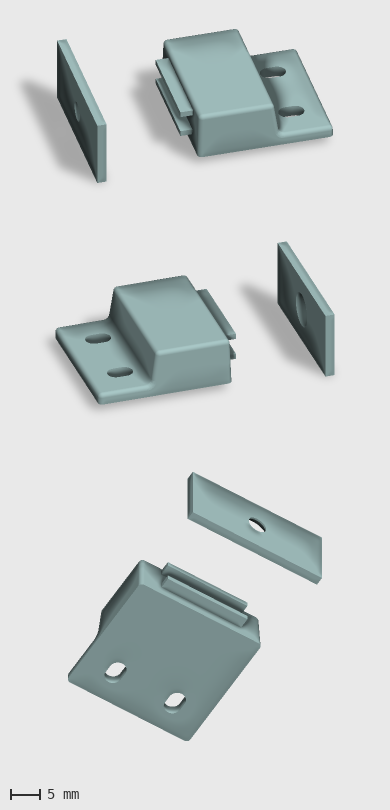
import cadquery as cq
import math

HOUSING_WIDTH = 24.5
HOUSING_LENGTH = 24.0
HOUSING_HEIGHT = 8.3
FLANGE_THICKNESS = 1.98
STEP_FOOT_Y = -9.5
STEP_ANGLE = 8.5
DRAFT_ANGLE = 2.0
EDGE_RADIUS = 0.75
STEP_RADIUS = 1.0

SLOT_LENGTH = 4.5
SLOT_WIDTH = 3.0
SLOT_SPACING = 11.95
SLOT_Y = -5.8

BAR_WIDTH = 16.0
BAR_THICKNESS = 1.0
BAR_FRONT_Y = -26.0
BAR_LENGTH = 4.0
BAR_BOTTOMS = (2.0, 5.98)

PLATE_WIDTH = 26.0
PLATE_THICKNESS = 1.65
PLATE_HEIGHT = 12.0
PLATE_FRONT_Y = -42.1
PLATE_CENTER_Z = 4.65
PLATE_HOLE_DIAMETER = 3.5
PLATE_HOLE_LAND = 0.35
COUNTERSINK_ANGLE = 45.0


def lean(height, angle):
    """Sideways shift of a leaning wall over a given height."""
    return height * math.tan(math.radians(angle))


def make_profile_block():
    """Side profile of the housing, extruded across its full width."""
    step_top_y = STEP_FOOT_Y - lean(HOUSING_HEIGHT - FLANGE_THICKNESS, STEP_ANGLE)
    front_top_y = -HOUSING_LENGTH + lean(HOUSING_HEIGHT, DRAFT_ANGLE)
    return (
        cq.Workplane("YZ")
        .moveTo(0, 0)
        .lineTo(0, FLANGE_THICKNESS)
        .lineTo(STEP_FOOT_Y, FLANGE_THICKNESS)
        .lineTo(step_top_y, HOUSING_HEIGHT)
        .lineTo(front_top_y, HOUSING_HEIGHT)
        .lineTo(-HOUSING_LENGTH, 0)
        .close()
        .extrude(HOUSING_WIDTH / 2, both=True)
    )


def make_side_envelope():
    """Trapezoid along Y that gives the housing its drafted side walls."""
    half_base = HOUSING_WIDTH / 2
    half_top = half_base - lean(HOUSING_HEIGHT, DRAFT_ANGLE)
    return (
        cq.Workplane("XZ")
        .polyline([
            (-half_base, 0),
            (half_base, 0),
            (half_top, HOUSING_HEIGHT),
            (-half_top, HOUSING_HEIGHT),
        ])
        .close()
        .extrude(HOUSING_LENGTH)
    )


def make_bar(bottom_z):
    """One flat bar, its inner end buried in the housing."""
    return cq.Workplane("XY").box(
        BAR_WIDTH, BAR_LENGTH, BAR_THICKNESS, centered=(True, False, False)
    ).translate((0, BAR_FRONT_Y, bottom_z))


def make_housing(bars):
    """Rounded housing with mounting slots and a recess for each bar."""
    body = make_profile_block().intersect(make_side_envelope())
    inner_corner = cq.selectors.NearestToPointSelector((0, STEP_FOOT_Y, FLANGE_THICKNESS))
    body = body.edges(inner_corner).fillet(STEP_RADIUS)
    body = body.edges("not(<Z)").fillet(EDGE_RADIUS)
    slots = (
        cq.Workplane("XY")
        .pushPoints([(-SLOT_SPACING / 2, SLOT_Y), (SLOT_SPACING / 2, SLOT_Y)])
        .slot2D(SLOT_LENGTH, SLOT_WIDTH, 90)
        .extrude(FLANGE_THICKNESS)
    )
    body = body.cut(slots)
    for bar in bars:
        body = body.cut(bar)
    return body


def make_strike_plate():
    """Upright plate with one central hole, countersunk from the back face."""
    plate = cq.Workplane("XZ").rect(PLATE_WIDTH, PLATE_HEIGHT).extrude(-PLATE_THICKNESS)
    hole_radius = PLATE_HOLE_DIAMETER / 2
    back_radius = hole_radius + lean(PLATE_THICKNESS - PLATE_HOLE_LAND, COUNTERSINK_ANGLE)
    hole = (
        cq.Workplane("XY")
        .polyline([
            (0, 0),
            (hole_radius, 0),
            (hole_radius, PLATE_HOLE_LAND),
            (back_radius, PLATE_THICKNESS),
            (0, PLATE_THICKNESS),
        ])
        .close()
        .revolve(360, (0, 0, 0), (0, 1, 0))
    )
    return plate.cut(hole).translate((0, PLATE_FRONT_Y, PLATE_CENTER_Z))


bars = [make_bar(bottom_z) for bottom_z in BAR_BOTTOMS]
housing = make_housing(bars)
strike_plate = make_strike_plate()

result = cq.Compound.makeCompound(
    [housing.val(), *[bar.val() for bar in bars], strike_plate.val()]
)